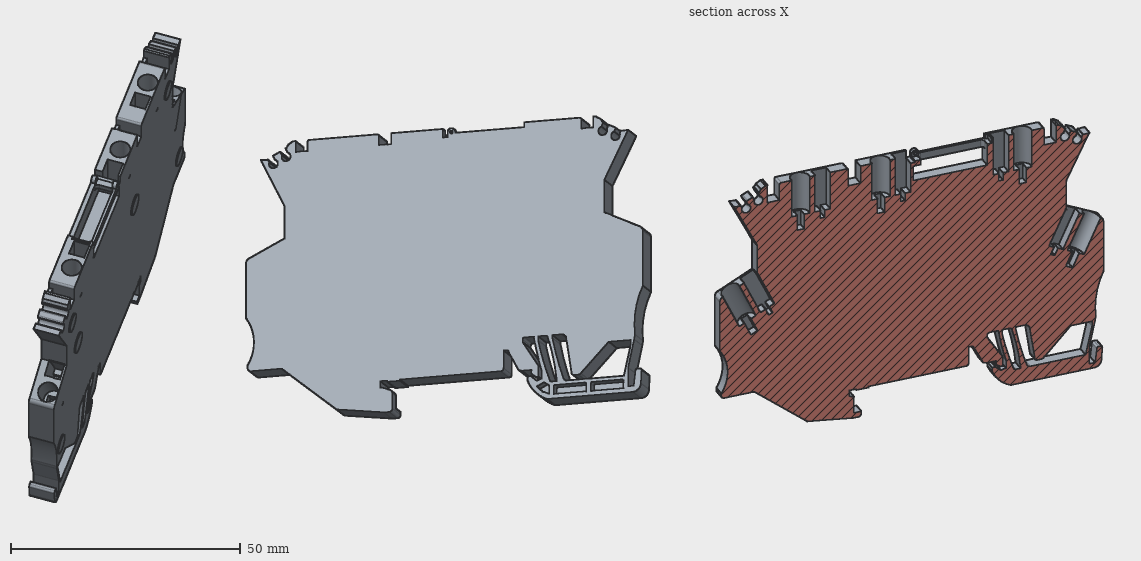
import cadquery as cq
import math

BODY_THICKNESS = 5.8
PAD_HEIGHT = 0.3
HALF_LENGTH = 45.5
HEIGHT = 62.8
CUT_MARGIN = 0.9

NECK_Y = 36.7
NECK_TOP_Z = 48.3
NECK_BOTTOM_Z = 41.0
SHOULDER_Z = 36.9
WAIST_TOP_Z = 23.75
WAIST_Y = 43.7
WAIST_Z = 18.4
COMB_TIP = (42.1, 59.15)
COMB_EDGE = [COMB_TIP, (40.6, 59.1), (38.95, 60.1), (37.95, 60.5), (36.2, 61.4), (35.8, 62.15), (34.7, HEIGHT)]

OUTER_SLOT = (31.4, 34.1)
INNER_SLOT = (12.2, 15.0)
SLOT_FLOOR_Z = 60.3
COVER_THICKNESS = 0.8
SLOT_TROUGH_Z = 58.5
HINGE_SLOT = (-0.7, 0.4)
HINGE_SLOT_FLOOR_Z = 60.9
LID_SPAN = (-18.3, -0.7)
LID_Z = 61.7

RAIL_Z = 7.1
LIP_Z = 6.8
RAIL_HOOK_Y = 11.9
RAIL_HOOK_Z = 4.8
HOOK_RECESS_X = 2.7
HOOK_RECESS_DEPTH = 1.7
HOOK_RECESS_FLOOR_Z = 1.4
BASE_Z = 11.7
TOE_Y = 45.1
WINDOW_TOP_Z = 14.3
PRONG_Z = 4.9
RELEASE_HOOK_Z = 5.2
RELEASE_HOOK_Y = (-45.2, -43.9)
FOOT_TOP_Z = 3.8

NOTCH_CENTERS = [(39.2, 58.1), (36.3, 59.4)]
NOTCH_RADIUS = 1.0
NOTCH_MOUTH = 1.4
NOTCH_REACH = 3.6

OPENING_X = 3.55
BORE_DIAMETER = 4.4
BORE_DEPTH = 9.1
CLAMP_SLOT_WIDTH = 1.6
CLAMP_SLOT_LENGTH = 2.9
CLAMP_SLOT_DEPTH = 12.7
TEST_HOLE_SIZE = 3.55
TEST_HOLE_DEPTH = 9.1
CONTACT_SLOT_WIDTH = 0.9
CONTACT_SLOT_DEPTH = 10.9
OPENING_PITCH = 5.2
TOP_TERMINALS = [(26.3, -1), (7.3, -1), (-26.3, 1)]
SHOULDER_BORE_INSET = 3.0

POCKET_X = (1.1, 5.2)
POCKET_SPAN = (-17.8, -2.2)
POCKET_CORNER_RADIUS = 0.7
UNDERCUT_Y = -0.4
POCKET_FLOOR_Z = 56.4
SIDE_WINDOW_TOP_Z = 59.9
LID_STOP_WIDTH = 0.6
HINGE_RADIUS = 0.86
HINGE_Y = HINGE_SLOT[0] - HINGE_RADIUS
HINGE_PIN_RADIUS = 0.32
HINGE_EAR = 1.0
HINGE_GAP_Z = 61.2

FOOT_RECESS_DEPTH = 2.3
FOOT_RECESS_RADIUS = 0.4
FOOT_RECESS_Z = (1.0, 3.0)
FOOT_RECESS_SPANS = [(-32.5, -25.0), (-41.0, -33.6)]
PAD_DIAMETER = 4.3
LARGE_PAD_DIAMETER = 4.7
PADS = [(33.0, 52.1), (-33.0, 52.1), (40.9, 17.5), (-40.9, 17.5)]
LARGE_PADS = [(10.1, 39.7), (-29.0, 39.7)]


def mirrored(points):
    """Reflect (y, z) points to the -Y end."""
    return [(-y, z) for y, z in points]


def follow(path, points):
    """Add straight runs through the points."""
    for point in points:
        path = path.lineTo(*point)
    return path


def box(x_span, y_span, z_span):
    """Block between the given limits on each axis."""
    size = [high - low for low, high in (x_span, y_span, z_span)]
    corner = (x_span[0], y_span[0], z_span[0])
    return cq.Workplane("XY").box(*size, centered=False).translate(corner)


def across(radius, y, z):
    """Cylinder along X over the full thickness."""
    return cq.Workplane("YZ").center(y, z).circle(radius).extrude(BODY_THICKNESS)


def through_body(outline):
    """Close an outline and extrude it over the full thickness."""
    return outline.close().extrude(BODY_THICKNESS)


def housing():
    """Full side outline with the rail hook, the spring latch and the comb edges."""
    flank = [(NECK_Y, NECK_TOP_Z), (NECK_Y, NECK_BOTTOM_Z), (HALF_LENGTH, SHOULDER_Z)]
    path = cq.Workplane("YZ").moveTo(*COMB_TIP)

    path = follow(path, flank + [(HALF_LENGTH, WAIST_TOP_Z)])
    path = path.threePointArc((WAIST_Y, WAIST_Z), (TOE_Y, 13.1))
    path = follow(path, [(TOE_Y, BASE_Z), (37.3, BASE_Z), (24.75, 1.55), (13.8, 0)])
    path = follow(path, [(RAIL_HOOK_Y, 0), (RAIL_HOOK_Y, RAIL_HOOK_Z), (14.7, 5.7), (14.7, RAIL_Z)])
    path = follow(path, [(13.1, RAIL_Z), (13.1, LIP_Z), (10.2, LIP_Z), (10.2, RAIL_Z)])

    path = follow(path, [(-13.6, RAIL_Z), (-13.6, BASE_Z), (-14.5, BASE_Z), (-16.9, RAIL_Z), (-17.7, LIP_Z)])
    path = follow(path, [(-19.9, LIP_Z), (-19.9, 6.0), (-20.9, 5.2), (-21.6, 5.2), (-21.6, 7.6)])

    path = follow(path, [(-17.9, 13.3), (-17.9, WINDOW_TOP_Z), (-20.5, WINDOW_TOP_Z)])
    path = path.threePointArc((-21.3, 10.2), (-22.3, 6.5))
    path = follow(path, [(-22.3, 4.6), (-21.1, 4.4), (-19.8, 5.5), (-19.0, 5.5), (-19.0, 4.5)])

    path = path.threePointArc((-20.8, 1.7), (-23.5, 0))
    path = path.lineTo(-43.2, 0).threePointArc((-44.5, 0.55), (-45.0, 1.8))
    path = follow(path, [(y, RELEASE_HOOK_Z) for y in RELEASE_HOOK_Y] + [(-43.4, 1.4)])
    path = follow(path, [(-42.1, 1.4), (-42.1, 5.55), (-43.5, 11.8), (-WAIST_Y, 12.9)])

    path = path.threePointArc((-43.9, 18.7), (-HALF_LENGTH, WAIST_TOP_Z))
    path = follow(path, mirrored(reversed(flank)))
    path = follow(path, mirrored(COMB_EDGE) + [(-OUTER_SLOT[1], HEIGHT)])

    path = follow(path, [(OUTER_SLOT[1], HEIGHT)] + list(reversed(COMB_EDGE[1:])))
    return through_body(path)


def top_cutters():
    """Slots, deeper behind the thin -X cover wall, and the plain hinge slot and lid step."""
    cutters = []
    for span in (OUTER_SLOT, (-OUTER_SLOT[1], -OUTER_SLOT[0]), INNER_SLOT):
        cutters.append(box((0, BODY_THICKNESS), span, (SLOT_FLOOR_Z, HEIGHT + CUT_MARGIN)))
        cutters.append(box((COVER_THICKNESS, BODY_THICKNESS), span, (SLOT_TROUGH_Z, SLOT_FLOOR_Z)))
    for span, floor in ((HINGE_SLOT, HINGE_SLOT_FLOOR_Z), (LID_SPAN, LID_Z)):
        cutters.append(box((0, BODY_THICKNESS), span, (floor, HEIGHT + CUT_MARGIN)))
    return cutters


def comb_notches():
    """Round notches with narrower mouths, opening square to the comb edge."""
    (y1, z1), (y2, z2) = NOTCH_CENTERS
    tilt = math.degrees(math.atan2(z2 - z1, y1 - y2))
    cutters = []
    for y, z in NOTCH_CENTERS:
        for side in (1, -1):
            mouth = box((0, BODY_THICKNESS), (-NOTCH_MOUTH / 2, NOTCH_MOUTH / 2), (0, NOTCH_REACH))
            mouth = mouth.rotate((0, 0, 0), (1, 0, 0), -side * tilt)
            cutters.append(mouth.translate((0, side * y, z)))
            cutters.append(across(NOTCH_RADIUS, side * y, z))
    return cutters


def spring_windows():
    """Two windows that leave the curved spring leaves and the slanted rear strut."""
    middle = cq.Workplane("YZ").moveTo(-21.5, WINDOW_TOP_Z).lineTo(-23.6, WINDOW_TOP_Z)
    middle = middle.threePointArc((-24.8, 9.6), (-25.75, FOOT_TOP_Z)).lineTo(-24.3, FOOT_TOP_Z)
    middle = middle.threePointArc((-22.75, 8.4), (-21.5, 13.4))

    rear = cq.Workplane("YZ").moveTo(-24.75, WINDOW_TOP_Z)
    rear = follow(rear, [(-27.8, WINDOW_TOP_Z), (-29.2, PRONG_Z), (-31.0, PRONG_Z), (-37.7, BASE_Z)])
    rear = follow(rear, [(-42.7, BASE_Z), (-42.7, 10.65), (-41.1, FOOT_TOP_Z), (-27.5, FOOT_TOP_Z)])
    rear = rear.threePointArc((-25.8, 9.0), (-24.75, 13.65))
    return [through_body(middle), through_body(rear)]


def hook_recess():
    """Recess in the inner face of the fixed rail hook, on its +X side."""
    y_span = (RAIL_HOOK_Y, RAIL_HOOK_Y + HOOK_RECESS_DEPTH)
    return box((HOOK_RECESS_X, BODY_THICKNESS), y_span, (HOOK_RECESS_FLOOR_Z, RAIL_Z - CUT_MARGIN))


def foot_recesses():
    """Blind recesses in the -X face of the foot."""
    cutters = []
    for span in FOOT_RECESS_SPANS:
        recess = box((0, FOOT_RECESS_DEPTH), span, FOOT_RECESS_Z)
        cutters.append(recess.edges("|X and >Z").fillet(FOOT_RECESS_RADIUS))
    tip = [(-21.2, 3.0), (-22.8, 3.8), (-24.0, 3.0), (-24.0, 1.1), (-22.4, 1.8)]
    cutters.append(cq.Workplane("YZ").polyline(tip).close().extrude(FOOT_RECESS_DEPTH))
    return cutters


def terminal_cutter(side):
    """Wire bore at the origin and a square test hole beside it, each going down to a narrower slot."""
    bore = cq.Workplane("XY").circle(BORE_DIAMETER / 2).extrude(-BORE_DEPTH)
    slot = cq.Workplane("XY").rect(CLAMP_SLOT_LENGTH, CLAMP_SLOT_WIDTH).extrude(-CLAMP_SLOT_DEPTH)
    beside = cq.Workplane("XY").center(0, side * OPENING_PITCH)
    test_hole = beside.rect(TEST_HOLE_SIZE, TEST_HOLE_SIZE).extrude(-TEST_HOLE_DEPTH)
    contact_slot = beside.rect(TEST_HOLE_SIZE, CONTACT_SLOT_WIDTH).extrude(-CONTACT_SLOT_DEPTH)
    return bore.union(slot).union(test_hole).union(contact_slot)


def terminals():
    """Openings on the top edge and on both sloping shoulders."""
    cutters = [terminal_cutter(side).translate((OPENING_X, y, HEIGHT)) for y, side in TOP_TERMINALS]
    slope = math.atan2(NECK_BOTTOM_Z - SHOULDER_Z, HALF_LENGTH - NECK_Y)
    y = HALF_LENGTH - SHOULDER_BORE_INSET * math.cos(slope)
    z = SHOULDER_Z + SHOULDER_BORE_INSET * math.sin(slope)
    for side in (1, -1):
        tilted = terminal_cutter(-side).rotate((0, 0, 0), (1, 0, 0), -side * math.degrees(slope))
        cutters.append(tilted.translate((OPENING_X, side * y, z)))
    return cutters


def lid_compartment():
    """Deep pocket under the lid, with a +X side window that undercuts the hinge, and a stop groove."""
    stop_span = (LID_SPAN[0] - LID_STOP_WIDTH, LID_SPAN[0])
    pocket = box(POCKET_X, POCKET_SPAN, (POCKET_FLOOR_Z, HEIGHT)).edges("|Z").fillet(POCKET_CORNER_RADIUS)
    window_span = (POCKET_SPAN[0], UNDERCUT_Y)
    return [
        pocket,
        box((POCKET_X[0], BODY_THICKNESS), window_span, (POCKET_FLOOR_Z, SIDE_WINDOW_TOP_Z)),
        box(POCKET_X, stop_span, (LID_Z, HEIGHT)),
    ]


def hinge():
    """Two rounded ears with a pin hole, standing beside the hinge slot."""
    z = HEIGHT - HINGE_RADIUS
    span = (HINGE_Y - HINGE_RADIUS, HINGE_Y + HINGE_RADIUS)
    ears = across(HINGE_RADIUS, HINGE_Y, z)
    ears = ears.union(box((0, BODY_THICKNESS), span, (HINGE_SLOT_FLOOR_Z, z)))
    gap = box((HINGE_EAR, BODY_THICKNESS - HINGE_EAR), span, (HINGE_GAP_Z, HEIGHT))
    return ears, [gap, across(HINGE_PIN_RADIUS, HINGE_Y, z)]


def round_corners(body):
    """Round selected outline corners, each given as (y, z) and radius."""
    corners = [
        (OUTER_SLOT[0], HEIGHT, 0.5), (-OUTER_SLOT[0], HEIGHT, 0.5), (INNER_SLOT[1], HEIGHT, 0.5),
        (HALF_LENGTH, SHOULDER_Z, 1.2), (-HALF_LENGTH, SHOULDER_Z, 1.2),
        (TOE_Y, BASE_Z, 0.7), (RAIL_HOOK_Y, 0, 0.7), (RAIL_HOOK_Y, RAIL_HOOK_Z, 1.1), (-13.6, RAIL_Z, 0.6),
        (-17.9, WINDOW_TOP_Z, 0.5), (-27.8, WINDOW_TOP_Z, 1.1), (-29.2, PRONG_Z, 0.55), (-31.0, PRONG_Z, 0.8),
        (-27.5, FOOT_TOP_Z, 0.8), (-24.3, FOOT_TOP_Z, 0.5), (-23.6, WINDOW_TOP_Z, 0.5),
    ]
    corners += [(y, RELEASE_HOOK_Z, 0.5) for y in RELEASE_HOOK_Y]
    for y, z, radius in corners:
        nearest = cq.NearestToPointSelector((BODY_THICKNESS / 2, y, z))
        body = body.edges("|X").edges(nearest).fillet(radius)
    return body


def cut_all(body, cutters):
    """Cut every cutter from the body."""
    for cutter in cutters:
        body = body.cut(cutter)
    return body


def add_pads(body):
    """Thin round pads on the +X face."""
    face = cq.Workplane("YZ", origin=(BODY_THICKNESS, 0, 0))
    for centers, diameter in ((PADS, PAD_DIAMETER), (LARGE_PADS, LARGE_PAD_DIAMETER)):
        body = body.union(face.pushPoints(centers).circle(diameter / 2).extrude(PAD_HEIGHT))
    return body


hinge_ears, hinge_cutters = hinge()

result = cut_all(housing(), top_cutters() + spring_windows())
result = round_corners(result)
result = cut_all(result, comb_notches() + [hook_recess()] + foot_recesses() + terminals())
result = result.union(hinge_ears)
result = cut_all(result, hinge_cutters + lid_compartment())
result = add_pads(result)